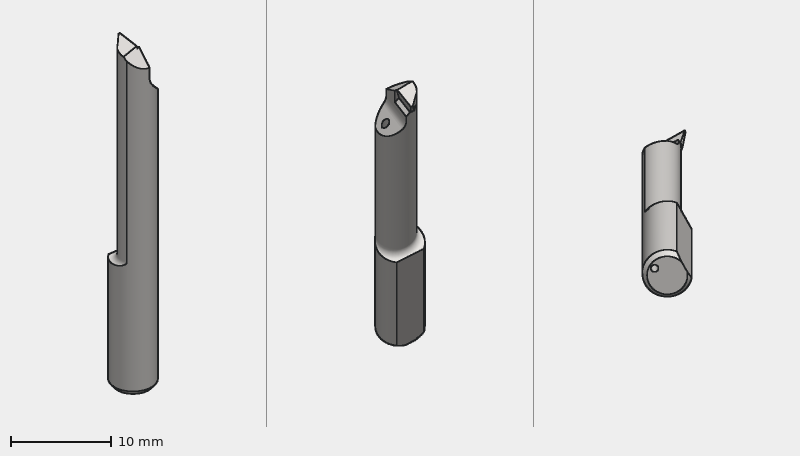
import cadquery as cq
import math

total_length = 40
shank_diameter = 5.0
shank_radius = shank_diameter / 2
overall_width = 4.45
flat_x = shank_radius - overall_width
end_chamfer_width = 0.5
end_chamfer_height = 0.6

neck_radius = 2.1
neck_x = 0.85
shoulder_z = 14.8
shoulder_fillet = 0.8

cut_face_y = 0.1
runout_corner_z = 36.15
runout_fillet = 1.4

top_slope_x = 0.1
top_slope_y = 0.15
tip_bevel_x = 0.7
tip_bevel_z = total_length - top_slope_x * (tip_bevel_x - flat_x)

tooth_bottom_z = 38.05
tooth_bottom_x = -1.3
flank_start_y = -0.3
flank_end_y = -1.7
flank_end_x = neck_x - math.sqrt(neck_radius**2 - flank_end_y**2)

groove_top_y = -0.1
groove_depth_y = -0.4
groove_runout_z = 37.7

hole_diameter = 0.75
hole_x = 0.75
hole_y = 1.25

clearance = 8


def make_shank(height):
    """Flatted bar with a conical chamfer at its lower end."""
    bar = (
        cq.Workplane("XZ")
        .lineTo(shank_radius - end_chamfer_width, 0)
        .lineTo(shank_radius, end_chamfer_height)
        .lineTo(shank_radius, height)
        .lineTo(0, height)
        .close()
        .revolve(360, (0, 0), (0, 1))
    )
    flat_cutter = cq.Workplane("XY").box(
        clearance, 2 * clearance, 3 * total_length
    ).translate((flat_x - clearance / 2, 0, 0))
    return bar.cut(flat_cutter)


def make_neck_envelope():
    """Neck with a concave flare at its base, above a wide disc that holds the whole shank."""
    flare_radius = neck_radius + shoulder_fillet
    flare_top_z = shoulder_z + shoulder_fillet
    arc_offset = shoulder_fillet * (1 - math.sqrt(0.5))
    return (
        cq.Workplane("XZ")
        .lineTo(clearance, 0)
        .lineTo(clearance, shoulder_z)
        .lineTo(flare_radius, shoulder_z)
        .threePointArc((neck_radius + arc_offset, shoulder_z + arc_offset), (neck_radius, flare_top_z))
        .lineTo(neck_radius, total_length)
        .lineTo(0, total_length)
        .close()
        .revolve(360, (0, 0), (0, 1))
        .translate((neck_x, 0, 0))
    )


def make_tooth():
    """Tapered tooth beside the neck, undercut by a sloping relief face."""
    tooth = (
        cq.Workplane("XY", origin=(0, 0, tooth_bottom_z))
        .moveTo(neck_x, cut_face_y)
        .lineTo(flat_x, cut_face_y)
        .lineTo(flat_x, flank_start_y)
        .lineTo(flank_end_x, flank_end_y)
        .lineTo(neck_x, flank_end_y)
        .close()
        .extrude(total_length - tooth_bottom_z)
    )
    relief_envelope = (
        cq.Workplane("XZ")
        .moveTo(flat_x, total_length)
        .lineTo(tooth_bottom_x, tooth_bottom_z)
        .lineTo(neck_x, tooth_bottom_z)
        .lineTo(neck_x, total_length)
        .close()
        .extrude(clearance, both=True)
    )
    return tooth.intersect(relief_envelope)


def make_half_section_cutter():
    """Removes the +Y half at the tip; the two walls blend through a fillet."""
    tangent_length = runout_fillet * math.tan(math.pi / 8)
    arc_end_offset = tangent_length * math.sqrt(0.5)
    arc_start_z = runout_corner_z + tangent_length
    arc_mid = (
        cut_face_y + runout_fillet * (1 - math.cos(math.pi / 8)),
        arc_start_z - runout_fillet * math.sin(math.pi / 8),
    )
    arc_end = (cut_face_y + arc_end_offset, runout_corner_z - arc_end_offset)
    return (
        cq.Workplane("YZ")
        .moveTo(cut_face_y, total_length + clearance)
        .lineTo(cut_face_y, arc_start_z)
        .threePointArc(arc_mid, arc_end)
        .lineTo(cut_face_y + clearance, runout_corner_z - clearance)
        .lineTo(cut_face_y + clearance, total_length + clearance)
        .close()
        .extrude(clearance, both=True)
    )


def make_chip_groove():
    """Shallow raked groove across the tooth, from the -X side to the neck axis."""
    groove_length = neck_x - flat_x
    return (
        cq.Workplane("YZ", origin=(flat_x, 0, 0))
        .moveTo(cut_face_y, total_length)
        .lineTo(groove_top_y, total_length)
        .lineTo(groove_depth_y, tooth_bottom_z)
        .lineTo(cut_face_y, groove_runout_z)
        .close()
        .extrude(groove_length)
    )


def make_top_cutter():
    """Space above the end face, which falls toward +X and toward -Y from the tooth tip."""
    tip = (flat_x, groove_top_y, total_length)
    plane = cq.Plane(origin=tip, xDir=(1, 0, -top_slope_x), normal=(top_slope_x, -top_slope_y, 1))
    return cq.Workplane(plane).rect(2 * clearance, 2 * clearance).extrude(clearance)


def make_bevel_cutter():
    """45 degree bevel on the +X side of the tip."""
    return (
        cq.Workplane("XZ")
        .moveTo(tip_bevel_x - clearance, tip_bevel_z + clearance)
        .lineTo(tip_bevel_x + clearance, tip_bevel_z - clearance)
        .lineTo(tip_bevel_x + clearance, tip_bevel_z + clearance)
        .close()
        .extrude(clearance, both=True)
    )


coolant_hole = (
    cq.Workplane("XY").center(hole_x, hole_y).circle(hole_diameter / 2).extrude(total_length)
)

result = (
    make_shank(total_length)
    .intersect(make_neck_envelope())
    .union(make_tooth())
    .cut(make_half_section_cutter())
    .cut(make_top_cutter())
    .cut(make_bevel_cutter())
    .cut(make_chip_groove())
    .cut(coolant_hole)
)